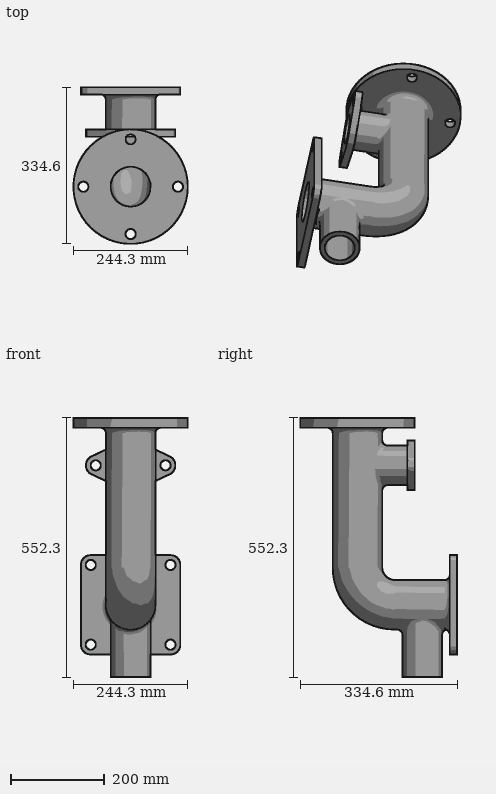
import cadquery as cq
import math

wall = 10.62
pipe_bore = 84.97
pipe_diameter = pipe_bore + 2 * wall
bend_radius = 79.66
run_drop = 398.30
run_reach = 212.43
fillet_radius = 10.62

branch_diameter = 84.97
branch_bore = branch_diameter - 2 * wall
outlet_offset = 138.08
outlet_end = 552.31
side_drop = 100.90

bolt_hole = 21.24
flange_diameter = 244.29
flange_thickness = 21.24
bolt_circle = 201.81
bolt_count = 4
plate_thickness = 15.93
square_side = 212.43
square_corner = 21.24
square_pitch = square_side - 2 * square_corner
oval_pitch = 148.70
oval_end_radius = 21.24
oval_mid_radius = pipe_diameter / 2
side_reach = flange_diameter / 2


def run(diameter):
    """Solid swept along the centreline of the main pipe run."""
    turn = bend_radius * (1 - math.sqrt(0.5))
    path = (
        cq.Workplane("YZ")
        .lineTo(0, bend_radius - run_drop)
        .threePointArc((turn, turn - run_drop), (bend_radius, -run_drop))
        .lineTo(run_reach, -run_drop)
    )
    return cq.Workplane("XY").circle(diameter / 2).sweep(path)


def outlet(diameter):
    """Downward branch, starting on the axis of the horizontal leg."""
    start = (0, outlet_offset, -run_drop)
    return cq.Workplane("XY", origin=start).circle(diameter / 2).extrude(run_drop - outlet_end)


def side_branch(diameter):
    """Branch toward +Y, starting on the axis of the vertical leg."""
    start = (0, 0, -side_drop)
    return cq.Workplane("XZ", origin=start).circle(diameter / 2).extrude(-side_reach)


def add_branch(pipe, branch):
    """Join a branch to the pipe and fillet the curve where they meet."""
    joined = pipe.union(branch)
    overlap = pipe.intersect(branch).val().BoundingBox()
    margin = 1.0
    around_joint = cq.selectors.BoxSelector(
        (overlap.xmin - margin, overlap.ymin - margin, overlap.zmin - margin),
        (overlap.xmax + margin, overlap.ymax + margin, overlap.zmax + margin),
        boundingbox=True,
    )
    return joined.edges(around_joint).edges("not %LINE").fillet(fillet_radius)


def flare():
    """Concave fillet ring around the main pipe, widest at Z = 0 and narrowing downward."""
    core = pipe_bore / 2
    inner = pipe_diameter / 2
    outer = inner + fillet_radius
    sag = fillet_radius * (1 - math.sqrt(0.5))
    return (
        cq.Workplane("XZ")
        .moveTo(core, 0)
        .lineTo(outer, 0)
        .threePointArc((inner + sag, -sag), (inner, -fillet_radius))
        .lineTo(core, -fillet_radius)
        .close()
        .revolve(360, (0, 0, 0), (0, 1, 0))
    )


def round_flange():
    """Top flange with its ring of bolt holes."""
    return (
        cq.Workplane("XY")
        .circle(flange_diameter / 2)
        .extrude(-flange_thickness)
        .faces(">Z")
        .workplane()
        .polarArray(bolt_circle / 2, 0, 360, bolt_count)
        .hole(bolt_hole)
        .union(flare().translate((0, 0, -flange_thickness)))
    )


def square_plate():
    """Rounded square plate on the end of the horizontal leg, with four corner holes."""
    ring = flare().rotate((0, 0, 0), (1, 0, 0), -90)
    return (
        cq.Workplane("XZ", origin=(0, run_reach, -run_drop))
        .rect(square_side, square_side)
        .extrude(plate_thickness)
        .edges("|Y")
        .fillet(square_corner)
        .faces("<Y")
        .workplane()
        .rect(square_pitch, square_pitch, forConstruction=True)
        .vertices()
        .hole(bolt_hole)
        .union(ring.translate((0, run_reach - plate_thickness, -run_drop)))
    )


def oval_plate():
    """Two-bolt plate on the side branch: a mid circle joined to two end circles by tangents."""
    lobe = oval_pitch / 2
    lean = (oval_mid_radius - oval_end_radius) / lobe
    rise = math.sqrt(1 - lean**2)
    mid = (oval_mid_radius * lean, oval_mid_radius * rise)
    end = (lobe + oval_end_radius * lean, oval_end_radius * rise)
    tip = lobe + oval_end_radius
    return (
        cq.Workplane("XZ", origin=(0, side_reach, -side_drop))
        .moveTo(-mid[0], mid[1])
        .threePointArc((0, oval_mid_radius), mid)
        .lineTo(*end)
        .threePointArc((tip, 0), (end[0], -end[1]))
        .lineTo(mid[0], -mid[1])
        .threePointArc((0, -oval_mid_radius), (-mid[0], -mid[1]))
        .lineTo(-end[0], -end[1])
        .threePointArc((-tip, 0), (-end[0], end[1]))
        .close()
        .extrude(plate_thickness)
        .faces("<Y")
        .workplane(origin=(0, 0, -side_drop))
        .pushPoints([(-lobe, 0), (lobe, 0)])
        .hole(bolt_hole)
    )


body = run(pipe_diameter)
for branch in (outlet(branch_diameter), side_branch(branch_diameter)):
    body = add_branch(body, branch)
for plate in (round_flange(), square_plate(), oval_plate()):
    body = body.union(plate)
for passage in (run(pipe_bore), outlet(branch_bore), side_branch(branch_bore)):
    body = body.cut(passage)
result = body